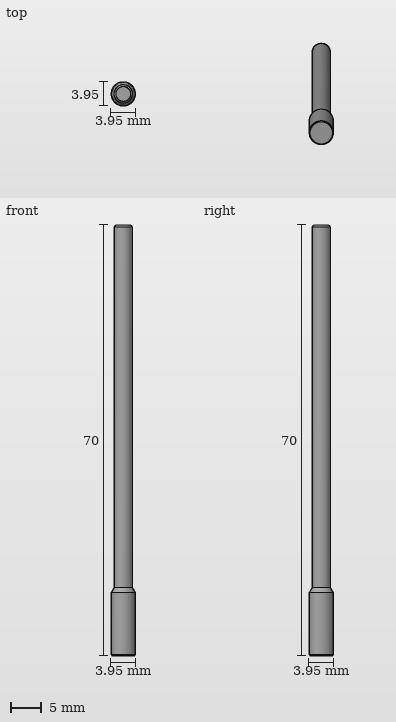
import cadquery as cq
import math

total_length = 70.0
shank_diameter = 3.0
head_diameter = 3.95
head_length = 11.1
head_taper_angle = 30.0
head_chamfer_height = 0.25
shank_chamfer = 0.3

shank_length = total_length - head_length
shoulder_width = (head_diameter - shank_diameter) / 2
taper_ratio = math.tan(math.radians(head_taper_angle))
shoulder_height = shoulder_width / taper_ratio
head_chamfer_width = head_chamfer_height * taper_ratio


def make_head():
    """Thick cylinder with a chamfered base and a cone narrowing to the shank."""
    head = cq.Workplane("XY").circle(head_diameter / 2).extrude(head_length)
    head = head.faces("<Z").chamfer(head_chamfer_height, head_chamfer_width)
    return head.faces(">Z").chamfer(shoulder_height, shoulder_width)


def make_shank():
    """Long thin rod standing on the head, chamfered at its free end."""
    shank = cq.Workplane("XY", origin=(0, 0, head_length))
    shank = shank.circle(shank_diameter / 2).extrude(shank_length)
    return shank.faces(">Z").chamfer(shank_chamfer)


head = make_head()
shank = make_shank()

result = cq.Compound.makeCompound([head.val(), shank.val()])